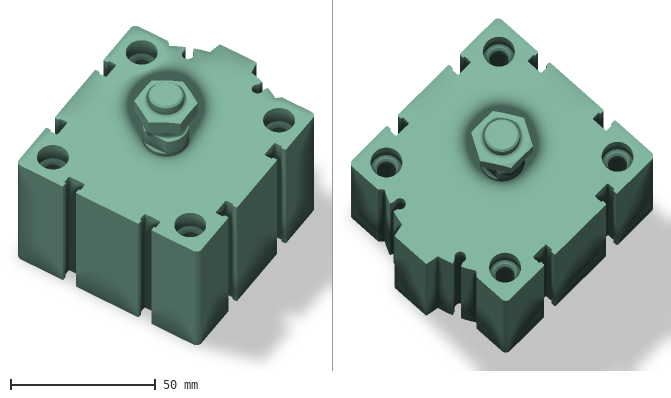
import cadquery as cq
import math

block_width = 75.0
block_length = 83.5
block_height = 50.0
corner_radius = 2.0
half_width = block_width / 2

crown_radius = 42.0
crown_relief_x = 23.4
rib_top_y = block_length - half_width
rib_top_width = 15.2
rib_base_width = 17.0
rib_corner_radius = 0.4

groove_angle = 21.7
groove_bulb_diameter = 4.1
groove_bulb_distance = 38.8
groove_mouth_width = 3.0

slot_offset = 15.5
slot_mouth_width = 5.2
slot_inner_width = 6.6
slot_lip = 1.9
slot_depth = 5.0
slot_edge_radius = 0.4

hole_pitch = 56.45
hole_diameter = 6.7
hole_chamfer = 0.75
counterbore_diameter = 11.0
counterbore_depth = 7.0

rod_diameter = 16.0
rod_length = 24.0
rod_shoulder = 7.85
rod_shoulder_chamfer = 0.25
flats_width = 13.2
flats_start = 1.6
thread_diameter = 12.0
thread_tip_chamfer = 0.7
neck_diameter = 10.2
neck_base_diameter = 11.5
neck_base_height = 0.7
neck_length = 0.6
neck_taper_length = 2.5

nut_width = 19.0
nut_height = 6.0
nut_setback = 4.0
nut_face_diameter = 18.8
nut_chamfer_angle = 15.0


def crown_point(angle):
    """Point of the crown arc at the given angle in radians, measured from +Y towards +X."""
    return crown_radius * math.sin(angle), crown_radius * math.cos(angle)


def mirrored(point):
    """The same point on the other side of the YZ plane."""
    return -point[0], point[1]


def make_block():
    """Square block with the crown and rib on its +Y side."""
    foot_angle = math.asin(rib_base_width / 2 / crown_radius)
    relief_offset = half_width - crown_relief_x
    end_angle = math.pi / 4 - math.asin(relief_offset / (math.sqrt(2) * crown_radius))
    rib_foot = crown_point(foot_angle)
    crown_middle = crown_point((foot_angle + end_angle) / 2)
    crown_end = crown_point(end_angle)
    rib_top = (rib_top_width / 2, rib_top_y)
    return (
        cq.Workplane("XY")
        .moveTo(-half_width, -half_width)
        .lineTo(half_width, -half_width)
        .lineTo(half_width, half_width)
        .lineTo(crown_relief_x, half_width)
        .lineTo(*crown_end)
        .threePointArc(crown_middle, rib_foot)
        .lineTo(*rib_top)
        .lineTo(*mirrored(rib_top))
        .lineTo(*mirrored(rib_foot))
        .threePointArc(mirrored(crown_middle), mirrored(crown_end))
        .lineTo(-crown_relief_x, half_width)
        .lineTo(-half_width, half_width)
        .close()
        .extrude(block_height)
        .edges("|Z and (<X or >X)")
        .fillet(corner_radius)
        .edges("|Z and >Y")
        .fillet(rib_corner_radius)
    )


def make_sensor_groove(angle):
    """Round-bottomed groove with a narrower mouth, turned by angle from +Y."""
    bulb = (
        cq.Workplane("XY")
        .center(0, groove_bulb_distance)
        .circle(groove_bulb_diameter / 2)
        .extrude(block_height)
    )
    mouth_length = groove_bulb_diameter
    mouth = (
        cq.Workplane("XY")
        .center(0, groove_bulb_distance + mouth_length / 2)
        .rect(groove_mouth_width, mouth_length)
        .extrude(block_height)
    )
    return bulb.union(mouth).rotate((0, 0, 0), (0, 0, 1), angle)


def make_t_slot(offset, angle):
    """T-slot for the -Y side, turned by angle about Z, with rounded lips and floor corners."""
    half_mouth = slot_mouth_width / 2
    radius = slot_edge_radius
    lip_edge_y = slot_lip - half_width
    floor_y = slot_depth - half_width
    inner_depth = slot_depth - slot_lip
    inner = (
        cq.Workplane("XY")
        .center(offset, floor_y - inner_depth / 2)
        .rect(slot_inner_width, inner_depth)
        .extrude(block_height)
        .edges("|Z and >Y")
        .fillet(radius)
    )
    mouth = (
        cq.Workplane("XY")
        .moveTo(offset - half_mouth - radius, -half_width)
        .radiusArc((offset - half_mouth, radius - half_width), -radius)
        .lineTo(offset - half_mouth, lip_edge_y - radius)
        .radiusArc((offset - half_mouth - radius, lip_edge_y), -radius)
        .lineTo(offset + half_mouth + radius, lip_edge_y)
        .radiusArc((offset + half_mouth, lip_edge_y - radius), -radius)
        .lineTo(offset + half_mouth, radius - half_width)
        .radiusArc((offset + half_mouth + radius, -half_width), -radius)
        .close()
        .extrude(block_height)
    )
    return inner.union(mouth).rotate((0, 0, 0), (0, 0, 1), angle)


def make_mounting_hole(x, y):
    """Through hole with a counterbore and a chamfer at the counterbore floor."""
    radius = hole_diameter / 2
    bore_radius = counterbore_diameter / 2
    floor_z = block_height - counterbore_depth
    return (
        cq.Workplane("XZ")
        .polyline([
            (0, 0),
            (radius, 0),
            (radius, floor_z - hole_chamfer),
            (radius + hole_chamfer, floor_z),
            (bore_radius, floor_z),
            (bore_radius, block_height),
            (0, block_height),
        ])
        .close()
        .revolve(360, (0, 0), (0, 1))
        .translate((x, y, 0))
    )


def make_housing():
    body = make_block()
    for side in (-1, 1):
        body = body.cut(make_sensor_groove(side * groove_angle))
        for angle in (-90, 0, 90):
            body = body.cut(make_t_slot(side * slot_offset, angle))
        for end in (-1, 1):
            body = body.cut(make_mounting_hole(side * hole_pitch / 2, end * hole_pitch / 2))
    return body


def make_rod():
    rod_radius = rod_diameter / 2
    thread_radius = thread_diameter / 2
    neck_radius = neck_diameter / 2
    neck_bottom = rod_shoulder + neck_base_height
    neck_top = neck_bottom + neck_length
    rod = (
        cq.Workplane("XZ")
        .polyline([
            (0, 0),
            (rod_radius, 0),
            (rod_radius, rod_shoulder - rod_shoulder_chamfer),
            (rod_radius - rod_shoulder_chamfer, rod_shoulder),
            (neck_base_diameter / 2, rod_shoulder),
            (neck_radius, neck_bottom),
            (neck_radius, neck_top),
            (thread_radius, neck_top + neck_taper_length),
            (thread_radius, rod_length - thread_tip_chamfer),
            (thread_radius - thread_tip_chamfer, rod_length),
            (0, rod_length),
        ])
        .close()
        .revolve(360, (0, 0), (0, 1))
    )
    flats_height = rod_shoulder - flats_start
    for side in (-1, 1):
        flat = (
            cq.Workplane("XY", origin=(0, 0, flats_start))
            .center(0, side * (flats_width + rod_diameter) / 2)
            .rect(rod_diameter, rod_diameter)
            .extrude(flats_height)
        )
        rod = rod.cut(flat)
    return rod.translate((0, 0, block_height))


def make_nut():
    corner_diameter = nut_width / math.cos(math.radians(30))
    hexagon = (
        cq.Workplane("XY")
        .polygon(6, corner_diameter)
        .extrude(nut_height)
        .rotate((0, 0, 0), (0, 0, 1), 30)
    )
    face_radius = nut_face_diameter / 2
    nut_corner_radius = corner_diameter / 2
    bevel = (nut_corner_radius - face_radius) * math.tan(math.radians(nut_chamfer_angle))
    envelope = (
        cq.Workplane("XZ")
        .polyline([
            (0, 0),
            (face_radius, 0),
            (nut_corner_radius, bevel),
            (nut_corner_radius, nut_height - bevel),
            (face_radius, nut_height),
            (0, nut_height),
        ])
        .close()
        .revolve(360, (0, 0), (0, 1))
    )
    bore = cq.Workplane("XY").circle(thread_diameter / 2).extrude(nut_height)
    nut_bottom = block_height + rod_length - nut_setback - nut_height
    return hexagon.intersect(envelope).cut(bore).translate((0, 0, nut_bottom))


housing = make_housing()
rod = make_rod()
nut = make_nut()

result = cq.Compound.makeCompound([housing.val(), rod.val(), nut.val()])